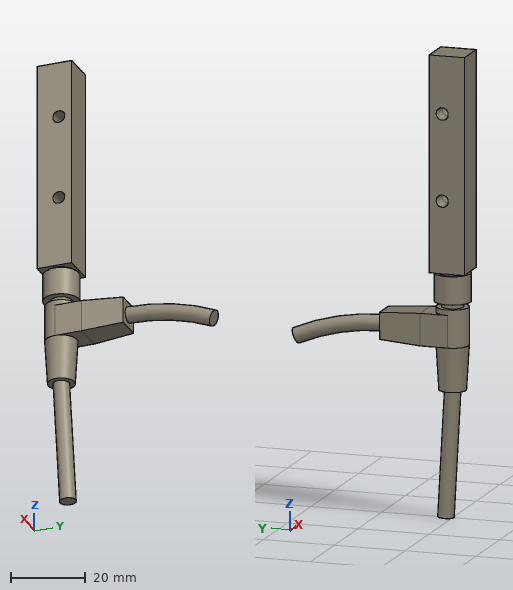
import cadquery as cq
import math


BLOCK_WIDTH = 10.0
BLOCK_HEIGHT = 60.0
HOLE_DIAMETER = 3.4
HOLE_OFFSET_Y = 1.3
HOLE_DEPTHS_FROM_TOP = (16.0, 40.0)
NECK_DIAMETER = 8.0
NECK_LENGTH = 0.7

NUT_DIAMETER = 10.0
NUT_HEIGHT = 7.8
NUT_TOP_Z = -NECK_LENGTH
NUT_BOTTOM_Z = NUT_TOP_Z - NUT_HEIGHT

STEM_DIAMETER = 6.0
STEM_LENGTH = 1.5
BARREL_DIAMETER = 9.0
BARREL_LENGTH = 10.5
BARREL_TOP_Z = NUT_BOTTOM_Z - STEM_LENGTH
BARREL_BOTTOM_Z = BARREL_TOP_Z - BARREL_LENGTH
ARM_SIZE = BARREL_DIAMETER
ARM_STRAIGHT_LENGTH = 7.7
ARM_TIP_Y = 19.4
ARM_TIP_SIZE = 7.5
ARM_AXIS_Z = BARREL_BOTTOM_Z + ARM_SIZE / 2
CABLE_DIAMETER = 4.5
BEND_RADIUS = 60.0
BENT_CABLE_TIP_Y = 45.09

SLEEVE_BOTTOM_DIAMETER = 7.5
SLEEVE_LENGTH = 12.4
SLEEVE_BOTTOM_Z = BARREL_BOTTOM_Z - SLEEVE_LENGTH
LEAN_ANGLE = 3.1
TOTAL_HEIGHT = 128.21


def disc(diameter, top_z, length):
    """Upright cylinder on the Z axis, hanging down from top_z."""
    return cq.Workplane("XY").workplane(offset=top_z).circle(diameter / 2).extrude(-length)


def make_housing():
    block = cq.Workplane("XY").rect(BLOCK_WIDTH, BLOCK_WIDTH).extrude(BLOCK_HEIGHT)
    hole_centers = [(HOLE_OFFSET_Y, BLOCK_HEIGHT - depth) for depth in HOLE_DEPTHS_FROM_TOP]
    holes = (
        cq.Workplane("YZ")
        .pushPoints(hole_centers)
        .circle(HOLE_DIAMETER / 2)
        .extrude(BLOCK_WIDTH / 2, both=True)
    )
    return block.cut(holes).union(disc(NECK_DIAMETER, 0, NECK_LENGTH))


def make_nut():
    return disc(NUT_DIAMETER, NUT_TOP_Z, NUT_HEIGHT)


def make_arm():
    straight = (
        cq.Workplane("XZ", origin=(0, 0, ARM_AXIS_Z))
        .rect(ARM_SIZE, ARM_SIZE)
        .extrude(-ARM_STRAIGHT_LENGTH)
    )
    taper = (
        cq.Workplane("XZ", origin=(0, ARM_STRAIGHT_LENGTH, ARM_AXIS_Z))
        .rect(ARM_SIZE, ARM_SIZE)
        .workplane(offset=ARM_STRAIGHT_LENGTH - ARM_TIP_Y)
        .rect(ARM_TIP_SIZE, ARM_TIP_SIZE)
        .loft(ruled=True)
    )
    return straight.union(taper)


def make_bent_cable():
    """Cable leaving the arm tip along +Y and bending down about an axis parallel to X."""
    outer_radius = BEND_RADIUS + CABLE_DIAMETER / 2
    bend_angle = math.degrees(math.asin((BENT_CABLE_TIP_Y - ARM_TIP_Y) / outer_radius))
    return (
        cq.Workplane("XZ", origin=(0, ARM_TIP_Y, ARM_AXIS_Z))
        .circle(CABLE_DIAMETER / 2)
        .revolve(bend_angle, (1, -BEND_RADIUS, 0), (0, -BEND_RADIUS, 0))
    )


def make_angled_plug():
    stem = disc(STEM_DIAMETER, NUT_BOTTOM_Z, STEM_LENGTH)
    barrel = disc(BARREL_DIAMETER, BARREL_TOP_Z, BARREL_LENGTH)
    return stem.union(barrel).union(make_arm()).union(make_bent_cable())


def make_leaning_cable():
    """Straight cable leaning toward +Y, cut square at its lower end."""
    lean = math.radians(LEAN_ANGLE)
    start_z = (BARREL_BOTTOM_Z + SLEEVE_BOTTOM_Z) / 2
    drop = start_z - (BLOCK_HEIGHT - TOTAL_HEIGHT)
    length = (drop - CABLE_DIAMETER / 2 * math.sin(lean)) / math.cos(lean)
    start_y = (SLEEVE_BOTTOM_Z - start_z) * math.tan(lean)
    direction = cq.Vector(0, math.sin(lean), -math.cos(lean))
    return cq.Workplane(
        cq.Solid.makeCylinder(CABLE_DIAMETER / 2, length, cq.Vector(0, start_y, start_z), direction)
    )


def make_straight_plug():
    sleeve = (
        cq.Workplane("XY")
        .workplane(offset=SLEEVE_BOTTOM_Z)
        .circle(SLEEVE_BOTTOM_DIAMETER / 2)
        .workplane(offset=SLEEVE_LENGTH)
        .circle(BARREL_DIAMETER / 2)
        .loft()
    )
    return sleeve.union(make_leaning_cable())


housing = make_housing()
nut = make_nut()
angled_plug = make_angled_plug()
straight_plug = make_straight_plug()

result = cq.Compound.makeCompound([housing.val(), nut.val(), angled_plug.val(), straight_plug.val()])